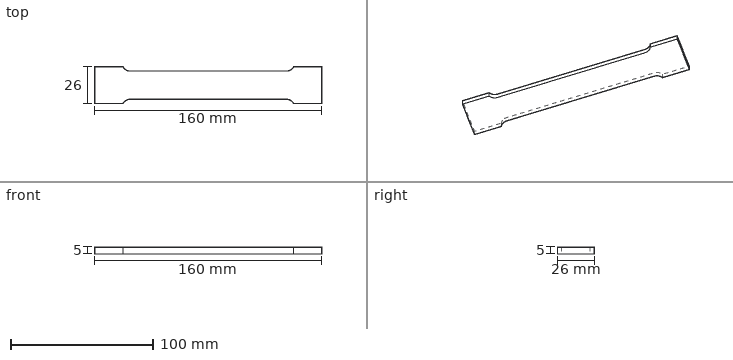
import cadquery as cq
import math

LENGTH = 160.0
GRIP_WIDTH = 26.0
THICKNESS = 5.0

GAUGE_WIDTH = 20.0
GRIP_LENGTH = 20.0
SHOULDER_LENGTH = 5.0

SHOULDER_DEPTH = (GRIP_WIDTH - GAUGE_WIDTH) / 2
SHOULDER_RADIUS = (SHOULDER_LENGTH**2 + SHOULDER_DEPTH**2) / (2 * SHOULDER_DEPTH)
SHOULDER_ANGLE = math.asin(SHOULDER_LENGTH / SHOULDER_RADIUS)
GAUGE_LENGTH = LENGTH - 2 * (GRIP_LENGTH + SHOULDER_LENGTH)


def edge_recess():
    """Cutter for the recess along the +Y edge: a straight floor with a concave arc at each end."""
    top = GRIP_WIDTH / 2
    floor = GAUGE_WIDTH / 2
    half_floor = GAUGE_LENGTH / 2
    half_opening = half_floor + SHOULDER_LENGTH
    mid_x = half_floor + SHOULDER_RADIUS * math.sin(SHOULDER_ANGLE / 2)
    mid_y = floor + SHOULDER_RADIUS * (1 - math.cos(SHOULDER_ANGLE / 2))
    return (
        cq.Workplane("XY")
        .moveTo(-half_opening, top)
        .threePointArc((-mid_x, mid_y), (-half_floor, floor))
        .lineTo(half_floor, floor)
        .threePointArc((mid_x, mid_y), (half_opening, top))
        .close()
        .extrude(THICKNESS)
    )


blank = cq.Workplane("XY").box(LENGTH, GRIP_WIDTH, THICKNESS, centered=(True, True, False))
recess = edge_recess()
result = blank.cut(recess).cut(recess.mirror("XZ"))